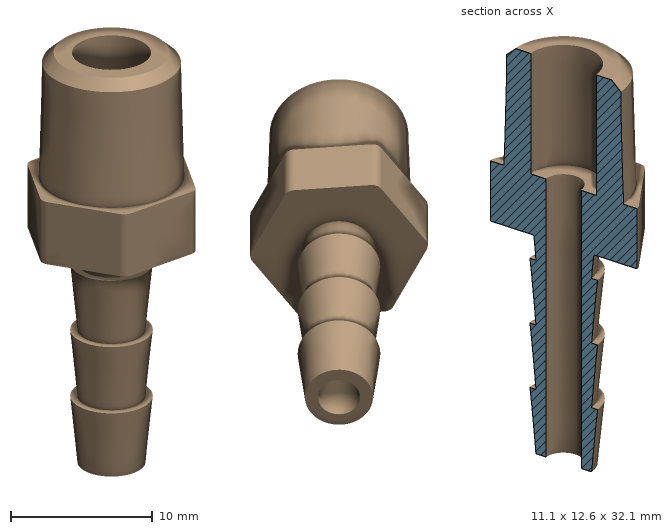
import cadquery as cq
import math

total_height = 32.13
barb_pitch = 5.2
barb_count = 3
hex_bottom = 17.55
hex_top = 22.43
chamfer_height = 0.75

barb_tip_diameter = 4.82
barb_edge_diameter = 5.85
neck_top_diameter = 5.2
thread_base_diameter = 10.3
thread_tip_diameter = 9.83
thread_end_diameter = 8.2
bore_diameter = 3.0
socket_diameter = 5.6

hex_across_flats = 11.12
hex_across_rounded_corners = 12.6

socket_bottom = hex_top


def cone(bottom_z, top_z, bottom_diameter, top_diameter):
    """Truncated cone about the Z axis."""
    return cq.Workplane(
        cq.Solid.makeCone(
            bottom_diameter / 2,
            top_diameter / 2,
            top_z - bottom_z,
            pnt=cq.Vector(0, 0, bottom_z),
        )
    )


def hose_tail():
    """Stacked barbs, each widening upward, then a short neck below the hexagon."""
    barbs_top = barb_count * barb_pitch
    tail = cone(barbs_top, hex_bottom, barb_tip_diameter, neck_top_diameter)
    for index in range(barb_count):
        bottom = index * barb_pitch
        barb = cone(bottom, bottom + barb_pitch, barb_tip_diameter, barb_edge_diameter)
        tail = tail.union(barb)
    return tail


def hexagon():
    """Hexagon with flats facing +X and -X and rounded vertical corners."""
    sharp_corners = hex_across_flats / math.cos(math.radians(30))
    tip_loss = (sharp_corners - hex_across_rounded_corners) / 2
    corner_radius = tip_loss / (1 / math.cos(math.radians(30)) - 1)
    return (
        cq.Workplane("XY")
        .workplane(offset=hex_bottom)
        .polygon(6, sharp_corners)
        .extrude(hex_top - hex_bottom)
        .rotate((0, 0, 0), (0, 0, 1), 30)
        .edges("|Z")
        .fillet(corner_radius)
    )


def thread_body():
    """Slightly tapered pipe-thread blank with a chamfered end."""
    chamfer_bottom = total_height - chamfer_height
    body = cone(hex_top, chamfer_bottom, thread_base_diameter, thread_tip_diameter)
    end = cone(chamfer_bottom, total_height, thread_tip_diameter, thread_end_diameter)
    return body.union(end)


def passage():
    """Through bore that opens into a wider socket at the thread end."""
    bore = cq.Workplane("XY").circle(bore_diameter / 2).extrude(total_height)
    socket = (
        cq.Workplane("XY")
        .workplane(offset=socket_bottom)
        .circle(socket_diameter / 2)
        .extrude(total_height - socket_bottom)
    )
    return bore.union(socket)


result = hose_tail().union(hexagon()).union(thread_body()).cut(passage())